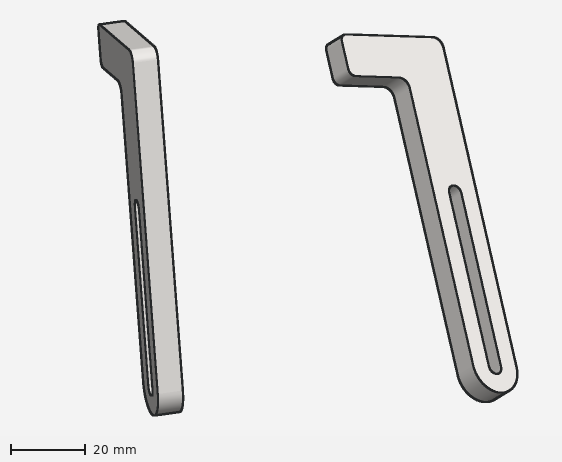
import cadquery as cq

thickness = 7.0
tilt = 15.4
arm_width = 15.1
arm_height = 94.9
hook_length = 35.0
hook_depth = 12.0
slot_width = 4.2
slot_center_span = 50.0
end_corner_radius = 2.0
elbow_radius = 3.0

end_radius = arm_width / 2
hook_tip_x = end_radius - hook_length
hook_bottom_z = arm_height - hook_depth


def flat_outline():
    """Solid hook with the arm upright and its round end centered on the origin."""
    return (
        cq.Workplane("XZ")
        .moveTo(end_radius, 0)
        .lineTo(end_radius, arm_height)
        .lineTo(hook_tip_x, arm_height)
        .lineTo(hook_tip_x, hook_bottom_z)
        .lineTo(-end_radius, hook_bottom_z)
        .lineTo(-end_radius, 0)
        .threePointArc((0, -end_radius), (end_radius, 0))
        .close()
        .extrude(thickness / 2, both=True)
    )


def round_corners(body):
    tip_corners = body.faces("<X").edges("|Y")
    body = tip_corners.fillet(end_corner_radius)
    for x, z in [(end_radius, arm_height), (-end_radius, hook_bottom_z)]:
        corner = cq.selectors.NearestToPointSelector((x, 0, z))
        body = body.edges("|Y").edges(corner).fillet(elbow_radius)
    return body


def arm_slot():
    """Through slot whose lower end is concentric with the round end of the arm."""
    return (
        cq.Workplane("XZ")
        .center(0, slot_center_span / 2)
        .slot2D(slot_center_span + slot_width, slot_width, 90)
        .extrude(thickness, both=True)
    )


hook = round_corners(flat_outline()).cut(arm_slot())

result = hook.rotate((0, 0, 0), (0, 1, 0), -tilt)